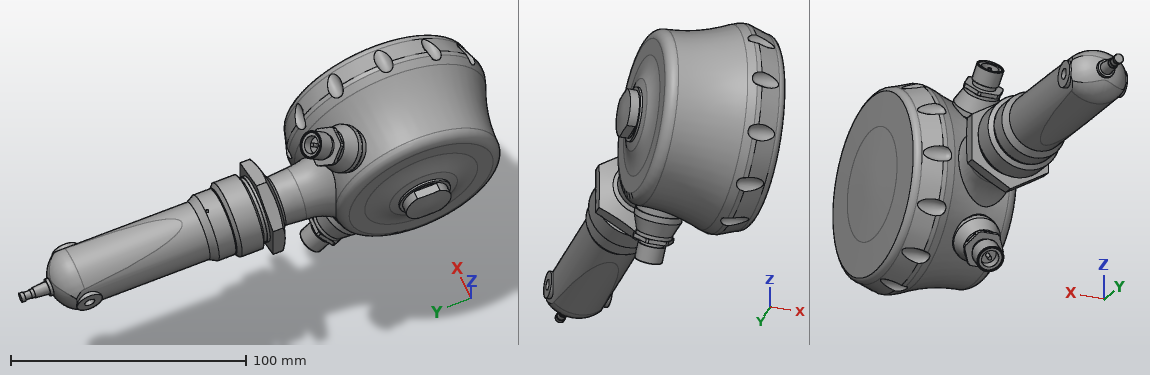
import cadquery as cq
import math


BUTTON_APEX_X = -27.9
BUTTON_RIM_X = -26.9
BUTTON_R = 20.8 / 2
BUTTON_FLAT_HALF = 9.0
BUTTON_FLAT_END_X = -23.2
BUTTON_SEAT_X = -22.9
SEAT_R = 23.6 / 2
SEAT_END_X = -22.0
DISH_INNER_X, DISH_INNER_R = -21.2, 15.7
DISH_MID_X, DISH_MID_R = -19.4, 20.8
DRUM_FACE_X, DISH_OUTER_R = -18.7, 26.1
SHOULDER_X, SHOULDER_R = -14.1, 38.0
SHOULDER_FLAT_R = 33.3
WAIST_X, WAIST_R = 3.5, 40.3

RING_START_X, RING_START_R = 14.8, 44.3
CREST_START_X, CREST_END_X, CREST_R = 18.7, 20.8, 45.5
RING_EDGE_X, RING_EDGE_R = 29.5, 42.6
RING_ROUND_X, RING_ROUND_R = 31.8, 41.7
BACK_FACE_X, BACK_FACE_R = 32.6, 40.4
BACK_CONE_X, BACK_CONE_R = 33.0, 25.0
BACK_APEX_X = 33.9

SCALLOP_COUNT = 12
SCALLOP_NOSE_X = 16.4
SCALLOP_WIDE_X, SCALLOP_R = 20.0, 3.4
SCALLOP_END_X, SCALLOP_END_R = 36.0, 3.2
SCALLOP_AXIS_R = 46.25

FLARE_Y, FLARE_R = 33.5, 18.4
FLARE_MID_Y, FLARE_MID_R = 38.0, 15.0
NECK_Y, NECK_R = 50.1, 11.7
NECK_TOP_Y, NECK_TOP_R = 59.3, 11.0
NUT_SKIRT_Y, NUT_SKIRT_R = 60.6, 12.6
NUT_FLATS = 36.0
NUT_CONE_Y, NUT_CONE_R = 63.6, 20.9
NUT_CHAMFER_Y = 62.0
NUT_CONE_SLOPE = (NUT_CONE_R - NUT_SKIRT_R) / (NUT_CONE_Y - NUT_SKIRT_Y)
NUT_FACE_R = NUT_SKIRT_R + NUT_CONE_SLOPE * (NUT_CHAMFER_Y - NUT_SKIRT_Y)
NUT_TOP_Y = 68.2
WASHER_R, WASHER_END_Y = 14.95, 69.4
GROOVE_R, GROOVE_END_Y = 14.5, 70.8
COLLAR_R, COLLAR_START_Y, COLLAR_END_Y = 16.9, 72.0, 82.0
SLEEVE_R, SLEEVE_START_Y, SLEEVE_END_Y = 15.0, 83.6, 91.8
SLEEVE_GROOVE_WIDTH, SLEEVE_GROOVE_DEPTH = 0.4, 0.5
MARK_DIAMETER, MARK_DEPTH, MARK_Y = 1.25, 0.5, 91.0
HANDLE_R, HANDLE_START_Y = 13.1, 95.3

DOME_START_Y, DOME_MID_Y, DOME_MID_R = 156.6, 160.6, 9.5
DOME_END_Y, DOME_END_R = 163.5, 4.0
SADDLE_R = 16.0
SADDLE_START_Y = 102.5
SADDLE_END_Y, SADDLE_END_HEIGHT = 151.9, 11.7
SADDLE_CURVE_Y, SADDLE_CURVE_HEIGHT = 160.0, 8.9

NOZZLE_FLANGE_R, NOZZLE_FLANGE_END_Y = 7.71 / 2, 164.9
NOZZLE_ROOT_R, NOZZLE_CONE_END_Y, NOZZLE_CONE_TIP_R = 2.9, 171.2, 2.3
NOZZLE_RING_R, NOZZLE_RING_END_Y = 2.0, 172.7
NOZZLE_PIN_R = 3.46 / 2
NOZZLE_BEAD_Y, NOZZLE_BEAD_R = 175.6, 2.1
NOZZLE_END_Y = 177.34

BUSHING_Y, BUSHING_DIAMETER, BUSHING_BORE = 151.1, 11.74, 4.6
BUSHING_HALF_LENGTH = 13.6

CONNECTOR_ANGLE = 45
CONNECTOR_X = -2.0
CONNECTOR_ROOT = 30.0
BOSS_R, BOSS_CONE_START = 10.4, 43.0
HEX_START, HEX_END, HEX_FLATS = 51.2, 53.0, 16.0
HEX_CORNER_R = 17.8 / 2
BOSS_TOP_R, BOSS_CONE_END = 15.85 / 2, 49.6
BOSS_FOOT_R, BOSS_FOOT_END = 9.9, 40.3
PLUG_NECK_R, PLUG_START, PLUG_END, PLUG_R = 5.25, 55.0, 62.37, 6.0
PLUG_CHAMFER = 0.3
SOCKET_RIM_R, SOCKET_RIM_DEPTH = 10.5 / 2, 0.6
SOCKET_R, SOCKET_DEPTH = 7.71 / 2, 4.5
PIN_R, PIN_LENGTH = 1.64 / 2, 3.5

HEX_CORNER_RATIO = 2 / math.sqrt(3)


def make_drum():
    """Turned drum with the dished front, the knob ring and the centre button."""
    corner_share = 1 - math.sqrt(0.5)
    shoulder_mid = (
        DRUM_FACE_X + (SHOULDER_X - DRUM_FACE_X) * corner_share,
        SHOULDER_R - (SHOULDER_R - SHOULDER_FLAT_R) * corner_share,
    )
    profile = (
        cq.Workplane("XY")
        .moveTo(BUTTON_APEX_X, 0)
        .lineTo(BUTTON_RIM_X, BUTTON_R)
        .lineTo(BUTTON_SEAT_X, BUTTON_R)
        .lineTo(BUTTON_SEAT_X, SEAT_R)
        .lineTo(SEAT_END_X, SEAT_R)
        .lineTo(DISH_INNER_X, DISH_INNER_R)
        .threePointArc((DISH_MID_X, DISH_MID_R), (DRUM_FACE_X, DISH_OUTER_R))
        .lineTo(DRUM_FACE_X, SHOULDER_FLAT_R)
        .threePointArc(shoulder_mid, (SHOULDER_X, SHOULDER_R))
        .threePointArc((WAIST_X, WAIST_R), (RING_START_X, RING_START_R))
        .lineTo(CREST_START_X, CREST_R)
        .lineTo(CREST_END_X, CREST_R)
        .lineTo(RING_EDGE_X, RING_EDGE_R)
        .threePointArc((RING_ROUND_X, RING_ROUND_R), (BACK_FACE_X, BACK_FACE_R))
        .lineTo(BACK_CONE_X, BACK_CONE_R)
        .lineTo(BACK_APEX_X, 0)
        .close()
    )
    return profile.revolve(360, (0, 0, 0), (1, 0, 0))


def make_button_flats():
    """Cutters for the two wrench flats on the button."""
    length = BUTTON_FLAT_END_X - BUTTON_APEX_X
    cutters = cq.Workplane("XY")
    for side in (-1, 1):
        centre_z = side * (BUTTON_FLAT_HALF + BUTTON_R / 2)
        block = cq.Workplane("XY").box(length, 2 * BUTTON_R, BUTTON_R)
        cutters = cutters.add(block.translate((BUTTON_APEX_X + length / 2, 0, centre_z)))
    return cutters.combine()


def make_scallop():
    """Round-nosed cutter with a slight taper, parallel to X above the ring crest."""
    profile = (
        cq.Workplane("XY")
        .moveTo(SCALLOP_NOSE_X, 0)
        .spline([(SCALLOP_WIDE_X, SCALLOP_R), (SCALLOP_END_X, SCALLOP_END_R)],
                tangents=[(0, 1), (1, 0)], includeCurrent=True)
        .lineTo(SCALLOP_END_X, 0)
        .close()
    )
    cutter = profile.revolve(360, (0, 0, 0), (1, 0, 0))
    return cutter.rotate((0, 0, 0), (1, 0, 0), 90).translate((0, 0, SCALLOP_AXIS_R))


def make_neck():
    """Flared neck between the drum and the hexagon nut."""
    profile = (
        cq.Workplane("XY")
        .moveTo(0, 0)
        .lineTo(FLARE_R, 0)
        .lineTo(FLARE_R, FLARE_Y)
        .threePointArc((FLARE_MID_R, FLARE_MID_Y), (NECK_R, NECK_Y))
        .lineTo(NECK_TOP_R, NECK_TOP_Y)
        .lineTo(NUT_SKIRT_R, NUT_SKIRT_Y)
        .lineTo(NUT_FACE_R, NUT_CHAMFER_Y)
        .lineTo(0, NUT_CHAMFER_Y)
        .close()
    )
    return profile.revolve(360, (0, 0, 0), (0, 1, 0))


def make_nut():
    """Hexagon nut with corners on the Z axis, bevelled on the drum side."""
    prism = (
        cq.Workplane("XZ", origin=(0, NUT_CHAMFER_Y, 0))
        .polygon(6, NUT_FLATS * HEX_CORNER_RATIO)
        .extrude(NUT_CHAMFER_Y - NUT_TOP_Y)
        .rotate((0, 0, 0), (0, 1, 0), 30)
    )
    envelope = (
        cq.Workplane("XY")
        .moveTo(0, NUT_CHAMFER_Y)
        .lineTo(NUT_FACE_R, NUT_CHAMFER_Y)
        .lineTo(NUT_CONE_R, NUT_CONE_Y)
        .lineTo(NUT_CONE_R, NUT_TOP_Y)
        .lineTo(0, NUT_TOP_Y)
        .close()
        .revolve(360, (0, 0, 0), (0, 1, 0))
    )
    return prism.intersect(envelope)


def make_collars():
    """Turned collars between the nut and the handle."""
    groove_floor = SLEEVE_R - SLEEVE_GROOVE_DEPTH
    groove_end_y = SLEEVE_START_Y + SLEEVE_GROOVE_WIDTH
    profile = (
        cq.Workplane("XY")
        .moveTo(0, NUT_TOP_Y)
        .lineTo(WASHER_R, NUT_TOP_Y)
        .lineTo(WASHER_R, WASHER_END_Y)
        .lineTo(GROOVE_R, WASHER_END_Y)
        .lineTo(GROOVE_R, GROOVE_END_Y)
        .lineTo(COLLAR_R, COLLAR_START_Y)
        .lineTo(COLLAR_R, COLLAR_END_Y)
        .lineTo(SLEEVE_R, SLEEVE_START_Y)
        .lineTo(groove_floor, SLEEVE_START_Y)
        .lineTo(groove_floor, groove_end_y)
        .lineTo(SLEEVE_R, groove_end_y)
        .lineTo(SLEEVE_R, SLEEVE_END_Y)
        .lineTo(HANDLE_R, HANDLE_START_Y)
        .lineTo(0, HANDLE_START_Y)
        .close()
    )
    mark = (
        cq.Workplane("XY", origin=(0, MARK_Y, SLEEVE_R - MARK_DEPTH))
        .circle(MARK_DIAMETER / 2)
        .extrude(2 * MARK_DEPTH)
    )
    return profile.revolve(360, (0, 0, 0), (0, 1, 0)).cut(mark)


def make_saddle_limit(side):
    """Tilted round-ended rod that lowers the handle towards its end on one Z side."""
    axis_height = HANDLE_R - SADDLE_R
    drop = (HANDLE_R - SADDLE_END_HEIGHT) / (SADDLE_END_Y - SADDLE_START_Y)
    tilt = math.degrees(math.atan(drop))
    curve_drop = SADDLE_END_HEIGHT - SADDLE_CURVE_HEIGHT
    end_drop = SADDLE_END_HEIGHT - DOME_END_R
    rod = (
        cq.Workplane("YZ")
        .moveTo(HANDLE_START_Y, axis_height)
        .lineTo(HANDLE_START_Y, axis_height - SADDLE_R)
        .lineTo(SADDLE_END_Y, axis_height - SADDLE_R)
        .threePointArc(
            (SADDLE_CURVE_Y, axis_height - SADDLE_R + curve_drop),
            (DOME_END_Y, axis_height - SADDLE_R + end_drop),
        )
        .lineTo(DOME_END_Y, axis_height)
        .close()
        .revolve(360, (HANDLE_START_Y, axis_height, 0), (DOME_END_Y, axis_height, 0))
        .rotate((0, SADDLE_START_Y, axis_height), (1, SADDLE_START_Y, axis_height), -tilt)
    )
    if side < 0:
        rod = rod.mirror("XY")
    reach = 2 * (DOME_END_Y - HANDLE_START_Y)
    width = 4 * HANDLE_R
    other_half = (
        cq.Workplane("XY")
        .box(width, reach, 2 * HANDLE_R)
        .translate((0, SADDLE_START_Y, -side * HANDLE_R))
    )
    before_saddle = (
        cq.Workplane("XY")
        .box(width, reach, width)
        .translate((0, SADDLE_START_Y - reach / 2, 0))
    )
    return rod.union(other_half).union(before_saddle)


def make_handle():
    """Round handle with a domed end and an upper and a lower saddle."""
    handle = (
        cq.Workplane("XY")
        .moveTo(0, HANDLE_START_Y)
        .lineTo(HANDLE_R, HANDLE_START_Y)
        .lineTo(HANDLE_R, DOME_START_Y)
        .threePointArc((DOME_MID_R, DOME_MID_Y), (DOME_END_R, DOME_END_Y))
        .lineTo(0, DOME_END_Y)
        .close()
        .revolve(360, (0, 0, 0), (0, 1, 0))
    )
    for side in (-1, 1):
        handle = handle.intersect(make_saddle_limit(side))
    return handle


def make_nozzle():
    """Stepped nozzle with a beaded tip."""
    profile = (
        cq.Workplane("XY")
        .moveTo(0, SADDLE_END_Y)
        .lineTo(NOZZLE_FLANGE_R, SADDLE_END_Y)
        .lineTo(NOZZLE_FLANGE_R, NOZZLE_FLANGE_END_Y)
        .lineTo(NOZZLE_ROOT_R, NOZZLE_FLANGE_END_Y)
        .lineTo(NOZZLE_CONE_TIP_R, NOZZLE_CONE_END_Y)
        .lineTo(NOZZLE_RING_R, NOZZLE_CONE_END_Y)
        .lineTo(NOZZLE_RING_R, NOZZLE_RING_END_Y)
        .lineTo(NOZZLE_PIN_R, NOZZLE_RING_END_Y)
        .lineTo(NOZZLE_PIN_R, NOZZLE_BEAD_Y)
        .lineTo(NOZZLE_BEAD_R, NOZZLE_BEAD_Y)
        .lineTo(NOZZLE_BEAD_R, NOZZLE_END_Y)
        .lineTo(0, NOZZLE_END_Y)
        .close()
    )
    return profile.revolve(360, (0, 0, 0), (0, 1, 0))


def make_cross_cylinder(diameter, half_length):
    """Cylinder parallel to X at the bushing position."""
    return (
        cq.Workplane("YZ", origin=(-half_length, BUSHING_Y, 0))
        .circle(diameter / 2)
        .extrude(2 * half_length)
    )


def make_connector():
    """Socket connector along +Y: cone boss, hexagon and open plug."""
    turned = (
        cq.Workplane("XY")
        .moveTo(0, CONNECTOR_ROOT)
        .lineTo(BOSS_FOOT_R, CONNECTOR_ROOT)
        .lineTo(BOSS_FOOT_R, BOSS_FOOT_END)
        .lineTo(BOSS_R, BOSS_FOOT_END)
        .lineTo(BOSS_R, BOSS_CONE_START)
        .lineTo(BOSS_TOP_R, BOSS_CONE_END)
        .lineTo(BOSS_TOP_R, HEX_START)
        .lineTo(PLUG_NECK_R, HEX_START)
        .lineTo(PLUG_NECK_R, PLUG_START)
        .lineTo(PLUG_R, PLUG_START)
        .lineTo(PLUG_R, PLUG_END - PLUG_CHAMFER)
        .lineTo(PLUG_R - PLUG_CHAMFER, PLUG_END)
        .lineTo(SOCKET_RIM_R, PLUG_END)
        .lineTo(SOCKET_RIM_R, PLUG_END - SOCKET_RIM_DEPTH)
        .lineTo(SOCKET_R, PLUG_END - SOCKET_RIM_DEPTH)
        .lineTo(SOCKET_R, PLUG_END - SOCKET_DEPTH)
        .lineTo(PIN_R, PLUG_END - SOCKET_DEPTH)
        .lineTo(PIN_R, PLUG_END - SOCKET_DEPTH + PIN_LENGTH)
        .lineTo(0, PLUG_END - SOCKET_DEPTH + PIN_LENGTH)
        .close()
        .revolve(360, (0, 0, 0), (0, 1, 0))
    )
    hexagon = (
        cq.Workplane("XZ", origin=(0, HEX_START, 0))
        .polygon(6, HEX_FLATS * HEX_CORNER_RATIO)
        .extrude(HEX_START - HEX_END)
    )
    corner_limit = (
        cq.Workplane("XZ", origin=(0, HEX_START, 0))
        .circle(HEX_CORNER_R)
        .extrude(HEX_START - HEX_END)
    )
    hexagon = hexagon.intersect(corner_limit)
    return turned.union(hexagon).translate((CONNECTOR_X, 0, 0))


drum = make_drum().cut(make_button_flats())
scallop = make_scallop()
for index in range(SCALLOP_COUNT):
    angle = index * 360 / SCALLOP_COUNT
    drum = drum.cut(scallop.rotate((0, 0, 0), (1, 0, 0), angle))

body = drum
for section in (make_neck(), make_nut(), make_collars(), make_handle(), make_nozzle()):
    body = body.union(section)

body = body.union(make_cross_cylinder(BUSHING_DIAMETER, BUSHING_HALF_LENGTH))
body = body.cut(make_cross_cylinder(BUSHING_BORE, 2 * BUSHING_HALF_LENGTH))

connector = make_connector()
for angle in (CONNECTOR_ANGLE, -CONNECTOR_ANGLE):
    body = body.union(connector.rotate((0, 0, 0), (1, 0, 0), angle))

result = body